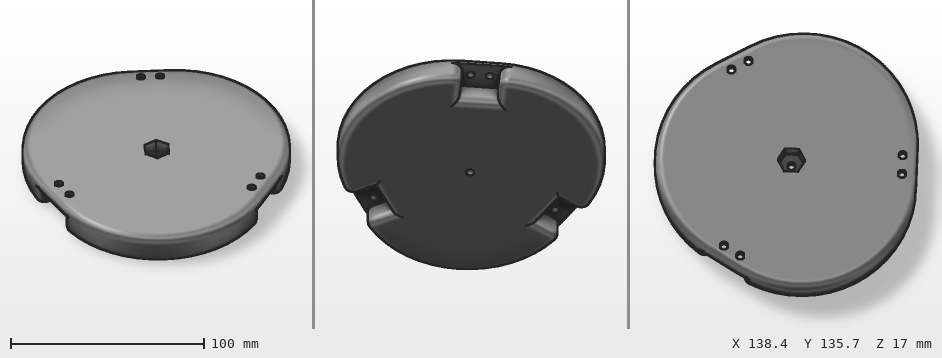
import cadquery as cq
import math

height = 17.0
lobe_radius = 59.2
flat_half_length = 10.0
edge_radius = 5.0
side_count = 3

notch_half_width = flat_half_length
notch_depth = 15.8
notch_roof_thickness = 5.1
mouth_radius = 5.0

hole_diameter = 4.2
hole_half_spacing = 5.0
hole_inset = 7.6
hex_across_corners = 14.1
hex_depth = 12.0

lobe_offset = flat_half_length / math.cos(math.radians(30))
flat_distance = lobe_radius + lobe_offset / 2
lobe_tip = lobe_radius + lobe_offset
notch_back = flat_distance - notch_depth
notch_height = height - notch_roof_thickness
side_angles = [side * 360 / side_count for side in range(side_count)]


def rotated(point, degrees):
    """Turn a plan point about the part's axis."""
    angle = math.radians(degrees)
    x, y = point
    return (
        x * math.cos(angle) - y * math.sin(angle),
        x * math.sin(angle) + y * math.cos(angle),
    )


def rounded_triangle():
    """Plan outline: three flats joined by three tangent lobes."""
    flat_start = (-flat_half_length, -flat_distance)
    flat_end = (flat_half_length, -flat_distance)
    half_step = 180 / side_count
    outline = cq.Workplane("XY").moveTo(*flat_start)
    for angle in side_angles:
        outline = outline.lineTo(*rotated(flat_end, angle))
        outline = outline.threePointArc(
            rotated((0, -lobe_tip), angle + half_step),
            rotated(flat_start, angle + 2 * half_step),
        )
    return outline.close()


def notch_tool():
    """Block that opens one flat from below, leaving a roof above it."""
    return (
        cq.Workplane("XY")
        .center(0, -notch_back - notch_depth)
        .rect(2 * notch_half_width, 2 * notch_depth)
        .extrude(notch_height)
    )


def notch_mouth_selector(angle):
    """Select the two upright edges where a notch meets the outside."""
    selector = None
    for side in (-1, 1):
        x = side * notch_half_width
        corner = rotated((x, -flat_distance), angle)
        nearest = cq.selectors.NearestToPointSelector((*corner, notch_height / 2))
        selector = nearest if selector is None else selector + nearest
    return selector


body = rounded_triangle().extrude(height).faces(">Z").edges().fillet(edge_radius)
for angle in side_angles:
    body = body.cut(notch_tool().rotate((0, 0, 0), (0, 0, 1), angle))
for angle in side_angles:
    body = body.edges(notch_mouth_selector(angle)).fillet(mouth_radius)
body = body.faces("<Z").edges().fillet(edge_radius)

hole_y = -(flat_distance - hole_inset)
hole_points = [(0, 0)]
for angle in side_angles:
    for x in (-hole_half_spacing, hole_half_spacing):
        hole_points.append(rotated((x, hole_y), angle))
holes = cq.Workplane("XY").pushPoints(hole_points).circle(hole_diameter / 2).extrude(height)

hex_pocket = (
    cq.Workplane("XY")
    .workplane(offset=height - hex_depth)
    .polygon(6, hex_across_corners)
    .extrude(hex_depth)
    .rotate((0, 0, 0), (0, 0, 1), 30)
)

result = body.cut(holes).cut(hex_pocket)